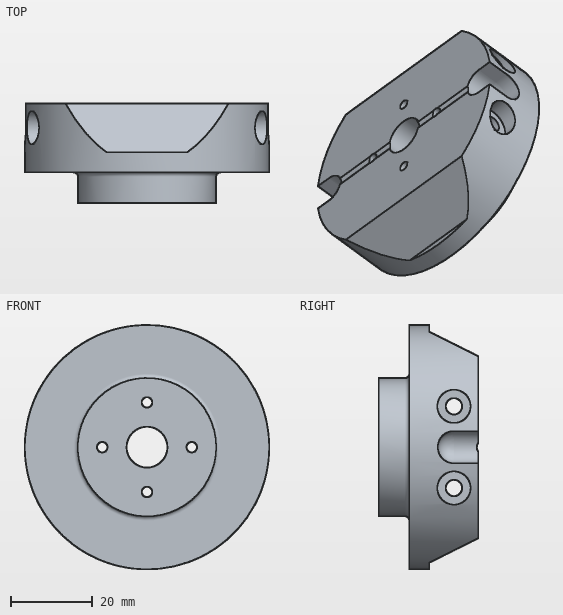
import cadquery as cq
import math

disc_radius = 30.0
disc_thickness = 17.0
rim_thickness = 5.0
boss_radius = 17.0
boss_length = 7.5
boss_fillet = 1.0
bore_radius = 5.0
bolt_circle_radius = 11.0
bolt_hole_radius = 1.25
bolt_count = 4

flat_back_height = 22.3
flat_rim_height = 28.3

cross_axis_depth = 6.0
cross_hole_height = 10.0
cross_hole_radius = 2.0
counterbore_radius = 4.1
counterbore_floor_x = 25.0

pocket_radius = 3.95
pocket_end_x = 25.9
groove_radius = 1.8
groove_depth = 0.35

back_y = disc_thickness
cross_axis_y = back_y - cross_axis_depth
cut_margin = 3.0


def y_cylinder(radius, start_y, end_y, x=0.0, z=0.0):
    axis = cq.Vector(0, 1, 0)
    return cq.Workplane(cq.Solid.makeCylinder(radius, end_y - start_y, cq.Vector(x, start_y, z), axis))


def x_cylinder(radius, start_x, end_x, y, z):
    axis = cq.Vector(1, 0, 0)
    return cq.Workplane(cq.Solid.makeCylinder(radius, end_x - start_x, cq.Vector(start_x, y, z), axis))


def turned_body():
    root_y = -boss_fillet
    arc_offset = boss_fillet * (1 - math.sqrt(0.5))
    return (
        cq.Workplane("XY")
        .moveTo(0, -boss_length)
        .lineTo(boss_radius, -boss_length)
        .lineTo(boss_radius, root_y)
        .threePointArc((boss_radius + arc_offset, -arc_offset), (boss_radius + boss_fillet, 0))
        .lineTo(disc_radius, 0)
        .lineTo(disc_radius, back_y)
        .lineTo(0, back_y)
        .close()
        .revolve(360, (0, 0, 0), (0, 1, 0))
    )


def flat_cutter():
    """Wedge above the top flat, with a step on the back of the rim."""
    outer_z = disc_radius + cut_margin
    return (
        cq.Workplane("YZ")
        .polyline([
            (rim_thickness, outer_z),
            (rim_thickness, flat_rim_height),
            (back_y, flat_back_height),
            (back_y, outer_z),
        ])
        .close()
        .extrude(disc_radius, both=True)
    )


def pocket_cutter():
    """Path of a ball-ended cutter fed in from the +X side."""
    outer_x = disc_radius + cut_margin
    inner_end = y_cylinder(pocket_radius, cross_axis_y, back_y, pocket_end_x)
    ball = cq.Workplane("XY").sphere(pocket_radius).translate((pocket_end_x, cross_axis_y, 0))
    floor = x_cylinder(pocket_radius, pocket_end_x, outer_x, cross_axis_y, 0)
    walls = (
        cq.Workplane("XY")
        .box(outer_x - pocket_end_x, cross_axis_depth, 2 * pocket_radius, centered=(False, False, True))
        .translate((pocket_end_x, cross_axis_y, 0))
    )
    return floor.union(walls).union(inner_end).union(ball)


result = turned_body()

top_flat = flat_cutter()
result = result.cut(top_flat).cut(top_flat.mirror("XY"))

result = result.cut(y_cylinder(bore_radius, -boss_length, back_y))
for index in range(bolt_count):
    angle = 2 * math.pi * index / bolt_count
    hole_x = bolt_circle_radius * math.cos(angle)
    hole_z = bolt_circle_radius * math.sin(angle)
    result = result.cut(y_cylinder(bolt_hole_radius, -boss_length, back_y, hole_x, hole_z))

for z in (-cross_hole_height, cross_hole_height):
    counterbore = x_cylinder(counterbore_radius, counterbore_floor_x, disc_radius, cross_axis_y, z)
    result = result.cut(x_cylinder(cross_hole_radius, -disc_radius, disc_radius, cross_axis_y, z))
    result = result.cut(counterbore).cut(counterbore.mirror("YZ"))

pocket = pocket_cutter()
result = result.cut(pocket).cut(pocket.mirror("YZ"))

groove_y = back_y + groove_radius - groove_depth
result = result.cut(x_cylinder(groove_radius, -disc_radius, disc_radius, groove_y, 0))